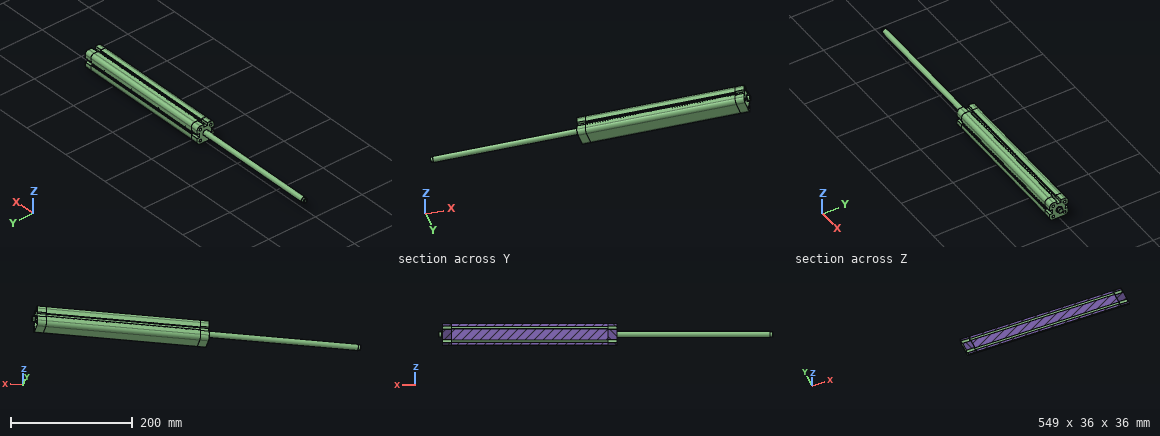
import cadquery as cq
import math

rod_length = 549.0
front_cap_start = -18.5
cap_length = 15.0
tube_length = 257.5
tube_start = front_cap_start + cap_length
rear_cap_start = tube_start + tube_length

body_width = 36.0
half_width = body_width / 2
corner_radius = 7.0
bolt_hole_offset = 11.0
cap_bolt_hole_diameter = 5.0
tube_bolt_hole_diameter = 3.5

slot_angles = (-90, 0, 90)
slot_depth = 5.5
slot_width = 7.5
slot_mouth_width = 5.0
slot_lip_thickness = 2.0

rod_diameter = 11.0
stub_diameter = 9.5
stub_length = 4.5
stub_chamfer = 0.5
rod_hole_diameter = 5.0
rod_hole_depth = 11.0
drill_point_angle = 120.0


def square_block(start, length, bolt_hole_diameter):
    """Square bar along X with rounded corners, a bolt hole in each corner and a bore for the rod."""
    bolt_spacing = 2 * bolt_hole_offset
    return (
        cq.Workplane("YZ", origin=(start, 0, 0))
        .rect(body_width, body_width)
        .extrude(length)
        .edges("|X")
        .fillet(corner_radius)
        .faces("<X")
        .workplane(origin=(start, 0, 0))
        .rect(bolt_spacing, bolt_spacing, forConstruction=True)
        .vertices()
        .hole(bolt_hole_diameter)
        .faces("<X")
        .workplane(origin=(start, 0, 0))
        .hole(rod_diameter)
    )


def groove(start, length, width, top, bottom):
    """Straight cutter along the +Z side, between two heights above the rod axis."""
    return (
        cq.Workplane("XY", origin=(start, 0, bottom))
        .rect(length, width)
        .extrude(top - bottom)
        .translate((length / 2, 0, 0))
    )


def cut_on_slotted_sides(block, cutter):
    """Cut a +Z side groove into every slotted side by turning it about the rod axis."""
    for angle in slot_angles:
        block = block.cut(cutter.rotate((0, 0, 0), (1, 0, 0), angle))
    return block


def make_end_cap(start):
    """End cap with plain rectangular slots that continue the tube's T-slots."""
    slot = groove(start, cap_length, slot_width, half_width, half_width - slot_depth)
    block = square_block(start, cap_length, cap_bolt_hole_diameter)
    return cut_on_slotted_sides(block, slot)


def make_tube():
    """Tube with T-slots: a narrow mouth between two lips and a wider channel below."""
    lip_bottom = half_width - slot_lip_thickness
    mouth = groove(tube_start, tube_length, slot_mouth_width, half_width, lip_bottom)
    channel = groove(tube_start, tube_length, slot_width, lip_bottom, half_width - slot_depth)
    block = square_block(tube_start, tube_length, tube_bolt_hole_diameter)
    return cut_on_slotted_sides(block, mouth.union(channel))


def make_rod():
    """Through rod with a chamfered stub at both ends and a drilled hole in its -X end."""
    tip = rod_length / 2
    shoulder = tip - stub_length
    rod_radius = rod_diameter / 2
    stub_radius = stub_diameter / 2
    hole_radius = rod_hole_diameter / 2
    hole_bottom = rod_hole_depth - tip
    drill_point = hole_bottom + hole_radius / math.tan(math.radians(drill_point_angle / 2))
    profile = [
        (drill_point, 0),
        (hole_bottom, hole_radius),
        (-tip, hole_radius),
        (-tip, stub_radius - stub_chamfer),
        (-tip + stub_chamfer, stub_radius),
        (-shoulder, stub_radius),
        (-shoulder, rod_radius),
        (shoulder, rod_radius),
        (shoulder, stub_radius),
        (tip - stub_chamfer, stub_radius),
        (tip, stub_radius - stub_chamfer),
        (tip, 0),
    ]
    return cq.Workplane("XY").polyline(profile).close().revolve(360, (0, 0, 0), (1, 0, 0))


tube = make_tube()
end_caps = [make_end_cap(start) for start in (front_cap_start, rear_cap_start)]
rod = make_rod()

result = cq.Compound.makeCompound([tube.val(), *[cap.val() for cap in end_caps], rod.val()])